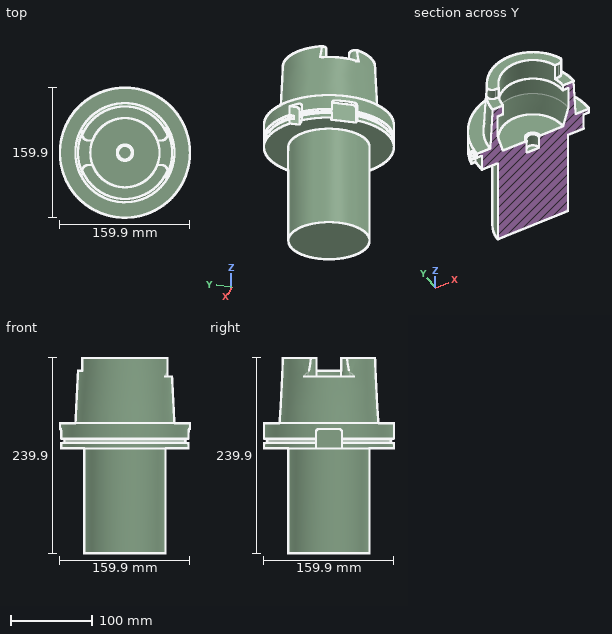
import cadquery as cq
import math


taper_length = 79.9
taper_base_radius = 60.9
taper_end_radius = 56.85
flange_radius = 159.92 / 2
flange_height = 31.0
shank_radius = 100.0 / 2
shank_length = 129.0

groove_top = -19.0
groove_bottom = -24.6
groove_floor_radius = 76.0
groove_upper_slant = 1.0
groove_lower_slant = 0.6

bore_radius = 85.07 / 2
bore_depth = 31.5
undercut_radius = 100.11 / 2
undercut_depth = 64.0
cavity_cone_angle = 75.0
cavity_cone_height = (undercut_radius - bore_radius) * math.tan(math.radians(cavity_cone_angle))
cavity_depth = undercut_depth + cavity_cone_height
cavity_floor = taper_length - cavity_depth

center_hole_diameter = 17.0
center_hole_mouth_diameter = 20.0
center_hole_depth = 20.0

slot_width = 30.0
left_slot_depth = 15.6
right_slot_depth = 22.7
lug_corner_radius = 7.6
lug_tip_x = 52.4
slot_run_out = 8.0

pocket_top = -7.2
pocket_corner_radius = 4.0
keyway_width = 32.0
keyway_floor_x = 72.5
notch_x = -50.0
notch_y = 50.0


def make_body():
    """Revolve the shank, grooved flange and taper as one solid."""
    flange_bottom = -flange_height
    shank_bottom = flange_bottom - shank_length
    profile = [
        (0, shank_bottom),
        (shank_radius, shank_bottom),
        (shank_radius, flange_bottom),
        (flange_radius, flange_bottom),
        (flange_radius, groove_bottom),
        (groove_floor_radius, groove_bottom + groove_lower_slant),
        (groove_floor_radius, groove_top - groove_upper_slant),
        (flange_radius, groove_top),
        (flange_radius, 0),
        (taper_base_radius, 0),
        (taper_end_radius, taper_length),
        (0, taper_length),
    ]
    return cq.Workplane("XZ").polyline(profile).close().revolve(360, (0, 0), (0, 1))


def make_cavity():
    """Bore with a clamping undercut, a cone below it and a chamfered hole in the floor."""
    hole_radius = center_hole_diameter / 2
    mouth_radius = center_hole_mouth_diameter / 2
    chamfer = mouth_radius - hole_radius
    hole_bottom = cavity_floor - center_hole_depth
    undercut_top = taper_length - bore_depth
    undercut_bottom = taper_length - undercut_depth
    profile = [
        (0, taper_length),
        (bore_radius, taper_length),
        (bore_radius, undercut_top),
        (undercut_radius, undercut_top),
        (undercut_radius, undercut_bottom),
        (bore_radius, cavity_floor),
        (mouth_radius, cavity_floor),
        (hole_radius, cavity_floor - chamfer),
        (hole_radius, hole_bottom),
        (0, hole_bottom),
    ]
    return cq.Workplane("XZ").polyline(profile).close().revolve(360, (0, 0), (0, 1))


def make_drive_slot(side, depth):
    """Slot from the axis outward along side * X, flaring around the rounded lug corners."""
    half_width = slot_width / 2
    arc_start_x = lug_tip_x - lug_corner_radius
    arc_center_y = half_width + lug_corner_radius
    end_angle = math.atan2(arc_center_y, arc_start_x)
    arc_end_x = arc_start_x + lug_corner_radius * math.cos(end_angle)
    arc_end_y = arc_center_y + lug_corner_radius * math.sin(end_angle)
    run_out_x = arc_end_x - slot_run_out * math.sin(end_angle)
    run_out_y = arc_end_y + slot_run_out * math.cos(end_angle)
    middle_angle = (end_angle - math.pi / 2) / 2
    arc_middle_x = arc_start_x + lug_corner_radius * math.cos(middle_angle)
    arc_middle_y = arc_center_y + lug_corner_radius * math.sin(middle_angle)
    return (
        cq.Workplane("XY")
        .workplane(offset=taper_length - depth)
        .moveTo(0, -half_width)
        .lineTo(side * arc_start_x, -half_width)
        .threePointArc((side * arc_middle_x, -arc_middle_y), (side * arc_end_x, -arc_end_y))
        .lineTo(side * run_out_x, -run_out_y)
        .lineTo(side * flange_radius, -run_out_y)
        .lineTo(side * flange_radius, run_out_y)
        .lineTo(side * run_out_x, run_out_y)
        .lineTo(side * arc_end_x, arc_end_y)
        .threePointArc((side * arc_middle_x, arc_middle_y), (side * arc_start_x, half_width))
        .lineTo(0, half_width)
        .close()
        .extrude(depth)
    )


def make_flange_pocket(x_inner, x_outer, y_min, y_max):
    """Block cut upward from the lower flange face, with rounded upper corners along X."""
    height = flange_height + pocket_top
    return (
        cq.Workplane("XY")
        .workplane(offset=-flange_height)
        .center((x_inner + x_outer) / 2, (y_min + y_max) / 2)
        .rect(abs(x_outer - x_inner), y_max - y_min)
        .extrude(height)
        .edges("|X and >Z")
        .fillet(pocket_corner_radius)
    )


result = make_body().cut(make_cavity())

for side, depth in ((-1, left_slot_depth), (1, right_slot_depth)):
    result = result.cut(make_drive_slot(side, depth))

for side in (-1, 1):
    keyway = make_flange_pocket(
        side * keyway_floor_x, side * flange_radius, -keyway_width / 2, keyway_width / 2
    )
    result = result.cut(keyway)

notch = make_flange_pocket(notch_x, -flange_radius, notch_y, flange_radius)
result = result.cut(notch)